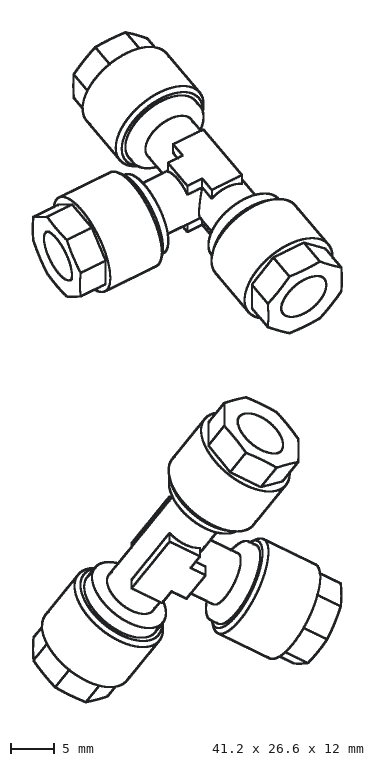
import cadquery as cq
import math

RUN_LENGTH = 41.2
ARM_LENGTH = RUN_LENGTH / 2
PIPE_DIAMETER = 6.5

NUT_DIAMETER = 12.0
SLEEVE_LENGTH = 7.5
SLEEVE_CHAMFER = 0.5
GRIP_SIDES = 8
GRIP_ACROSS_FLATS = 10.0
GRIP_LENGTH = 3.5
GRIP_FACE_DIAMETER = 9.9
GRIP_CHAMFER_ANGLE = 12.0

RECESS_FLOOR_DIAMETER = 6.2
RECESS_RIM_ROUND = 0.35

COLLAR_DIAMETER = GRIP_ACROSS_FLATS
COLLAR_TAPER = 0.45
COLLAR_LENGTH = 1.07
COLLAR_EDGE_ROUND = 0.12
LONG_COLLAR_LENGTH = 1.7

BLOCK_HALF_LENGTH = 4.08
BLOCK_HALF_WIDTH = 2.05
BLOCK_HALF_HEIGHT = 4.08


def make_turned_body(collar_length, edge_round):
    """Pipe, collar and sleeve of one arm, revolved about +X from the tee centre."""
    pipe_radius = PIPE_DIAMETER / 2
    collar_radius = COLLAR_DIAMETER / 2
    nut_radius = NUT_DIAMETER / 2
    sleeve_end = ARM_LENGTH - GRIP_LENGTH
    sleeve_start = sleeve_end - SLEEVE_LENGTH
    collar_start = sleeve_start - collar_length
    profile = [
        (0, 0),
        (0, pipe_radius),
        (collar_start - COLLAR_TAPER, pipe_radius),
        (collar_start, collar_radius),
        (sleeve_start, collar_radius),
        (sleeve_start, nut_radius - SLEEVE_CHAMFER),
        (sleeve_start + SLEEVE_CHAMFER, nut_radius),
        (sleeve_end, nut_radius),
        (sleeve_end, 0),
    ]
    body = cq.Workplane("XY").polyline(profile).close().revolve(360, (0, 0, 0), (1, 0, 0))
    if edge_round > 0:
        collar_edge = cq.selectors.NearestToPointSelector((collar_start, 0, 0))
        body = body.edges(collar_edge).fillet(edge_round)
    return body


def make_grip():
    """Octagonal grip with flats facing Y and Z and its outer corners chamfered by a cone."""
    corner_diameter = GRIP_ACROSS_FLATS / math.cos(math.pi / GRIP_SIDES)
    octagon = (
        cq.Workplane("YZ", origin=(ARM_LENGTH - GRIP_LENGTH, 0, 0))
        .transformed(rotate=(0, 0, 180 / GRIP_SIDES))
        .polygon(GRIP_SIDES, corner_diameter)
        .extrude(GRIP_LENGTH)
    )
    face_radius = GRIP_FACE_DIAMETER / 2
    envelope_radius = NUT_DIAMETER / 2
    cone_length = (envelope_radius - face_radius) * math.tan(math.radians(GRIP_CHAMFER_ANGLE))
    envelope_profile = [
        (0, 0),
        (0, envelope_radius),
        (ARM_LENGTH - cone_length, envelope_radius),
        (ARM_LENGTH, face_radius),
        (ARM_LENGTH, 0),
    ]
    envelope = cq.Workplane("XY").polyline(envelope_profile).close().revolve(360, (0, 0, 0), (1, 0, 0))
    return octagon.intersect(envelope)


def make_recess():
    """Shallow round recess with a flat floor and a convex rounded rim at the nut face."""
    floor_radius = RECESS_FLOOR_DIAMETER / 2
    rim_radius = floor_radius + RECESS_RIM_ROUND
    floor_position = ARM_LENGTH - RECESS_RIM_ROUND
    arc_offset = RECESS_RIM_ROUND * math.sin(math.radians(45))
    return (
        cq.Workplane("XY")
        .moveTo(floor_position, 0)
        .lineTo(floor_position, floor_radius)
        .threePointArc(
            (floor_position + arc_offset, rim_radius - arc_offset),
            (ARM_LENGTH, rim_radius),
        )
        .lineTo(ARM_LENGTH, 0)
        .close()
        .revolve(360, (0, 0, 0), (1, 0, 0))
    )


def make_arm(direction, collar_length, edge_round):
    """One complete arm, turned about Z to the given direction in degrees from +X."""
    arm = make_turned_body(collar_length, edge_round).union(make_grip()).cut(make_recess())
    return arm.rotate((0, 0, 0), (0, 0, 1), direction)


def make_block():
    """T-shaped block whose crossbar follows the run and whose stem follows the branch."""
    height = 2 * BLOCK_HALF_HEIGHT
    crossbar = cq.Workplane("XY").box(2 * BLOCK_HALF_LENGTH, 2 * BLOCK_HALF_WIDTH, height)
    stem = (
        cq.Workplane("XY")
        .box(2 * BLOCK_HALF_WIDTH, BLOCK_HALF_LENGTH, height)
        .translate((0, -BLOCK_HALF_LENGTH / 2, 0))
    )
    return crossbar.union(stem)


right_arm = make_arm(0, LONG_COLLAR_LENGTH, 0)
left_arm = make_arm(180, COLLAR_LENGTH, COLLAR_EDGE_ROUND)
branch_arm = make_arm(-90, COLLAR_LENGTH, COLLAR_EDGE_ROUND)

result = right_arm.union(left_arm).union(branch_arm).union(make_block()).clean()